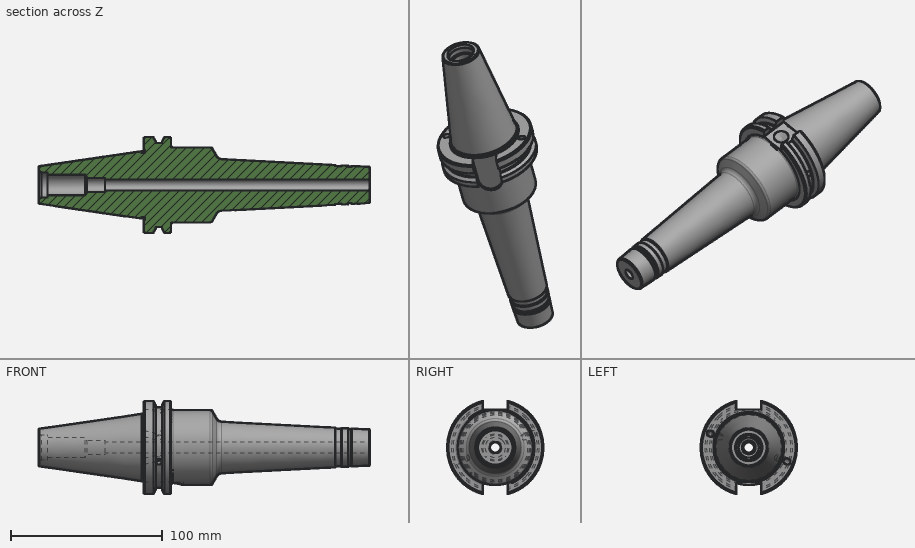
import cadquery as cq
import math

LENGTH = 218.2
DRILL_POINT_ANGLE = math.radians(118)

TAPER_END = 67.7
TAPER_BIG_RADIUS = 22.3
TAPER_SLOPE = 7 / 48
SHANK_CHAMFER = 0.7
RELIEF_RADIUS = 21.4
RELIEF_CHAMFER = 0.5

FLANGE_FRONT = 69.2
FLANGE_BACK = 87.3
FLANGE_RADIUS = 63.5 / 2
FLANGE_CHAMFER = 0.9
FACE_RECESS_RADIUS = 23.4
FACE_RECESS_DEPTH = 0.7
GROOVE_X = 79.2
GROOVE_WIDTH = 4.0
GROOVE_FLOOR_RADIUS = 27.7
FLANK_ROOT_RADIUS = 28.8
FLANK_ANGLE = math.radians(30)

BODY_RADIUS = 49.5 / 2
BODY_FILLET = 1.0
SHOULDER_ROUND = 2.0
SHOULDER_ANGLE = math.radians(60)
SHOULDER_FILLET = 4.0

NOSE_TIP_RADIUS = 12.0
NOSE_ANGLE = math.radians(3)
NOSE_START = 120.5
NOSE_CHAMFER = 0.7
RING_GROOVES = ((195.1, 199.7), (203.6, 206.5))
RING_GROOVE_DEPTH = 0.55

SLOT_WIDTH = 16.2
UPPER_SLOT_FLOOR = 25.0
LOWER_SLOT_FLOOR = 22.7
DIMPLE_DIAMETER = 9.5

MOUTH_DIAMETER = 18.0
MOUTH_DEPTH = 2.0
PILOT_DIAMETER = 16.4
PILOT_DEPTH = 6.0
THREAD_DIAMETER = 13.3
THREAD_DEPTH = 30.5
STEP_DIAMETER = 9.0
STEP_DEPTH = 43.6
THROUGH_DIAMETER = 7.0

COOLANT_POSITION_ANGLE = 20.0
COOLANT_TILT = math.radians(35)
COOLANT_CIRCLE_RADIUS = 26.8
COOLANT_OUTLET_DIAMETER = 4.0
COOLANT_CROSS_DIAMETER = 4.0


def taper_radius(x):
    return TAPER_BIG_RADIUS - (TAPER_END - x) * TAPER_SLOPE


def nose_radius(x):
    return NOSE_TIP_RADIUS + (LENGTH - x) * math.tan(NOSE_ANGLE)


def turned_body():
    groove_left = GROOVE_X - GROOVE_WIDTH / 2
    groove_right = GROOVE_X + GROOVE_WIDTH / 2
    flank_run = (FLANGE_RADIUS - FLANK_ROOT_RADIUS) * math.tan(FLANK_ANGLE)
    recess_floor = FLANGE_FRONT + FACE_RECESS_DEPTH

    foot_run = SHOULDER_FILLET * (math.sin(SHOULDER_ANGLE) - math.sin(NOSE_ANGLE))
    foot_rise = SHOULDER_FILLET * (math.cos(NOSE_ANGLE) - math.cos(SHOULDER_ANGLE))
    foot_x = NOSE_START - foot_run
    foot_radius = nose_radius(NOSE_START) + foot_rise
    round_radius = BODY_RADIUS - SHOULDER_ROUND * (1 - math.cos(SHOULDER_ANGLE))
    round_x = foot_x - (round_radius - foot_radius) / math.tan(SHOULDER_ANGLE)
    shoulder_x = round_x - SHOULDER_ROUND * math.sin(SHOULDER_ANGLE)

    outline = (
        cq.Workplane("XY")
        .lineTo(0, taper_radius(0) - SHANK_CHAMFER)
        .lineTo(SHANK_CHAMFER, taper_radius(SHANK_CHAMFER))
        .lineTo(TAPER_END, TAPER_BIG_RADIUS)
        .lineTo(TAPER_END + RELIEF_CHAMFER, RELIEF_RADIUS)
        .lineTo(recess_floor, RELIEF_RADIUS)
        .lineTo(recess_floor, FACE_RECESS_RADIUS - FACE_RECESS_DEPTH)
        .lineTo(FLANGE_FRONT, FACE_RECESS_RADIUS)
        .lineTo(FLANGE_FRONT, FLANGE_RADIUS - FLANGE_CHAMFER)
        .lineTo(FLANGE_FRONT + FLANGE_CHAMFER, FLANGE_RADIUS)
        .lineTo(groove_left - flank_run, FLANGE_RADIUS)
        .lineTo(groove_left, FLANK_ROOT_RADIUS)
        .lineTo(groove_left, GROOVE_FLOOR_RADIUS)
        .lineTo(groove_right, GROOVE_FLOOR_RADIUS)
        .lineTo(groove_right, FLANK_ROOT_RADIUS)
        .lineTo(groove_right + flank_run, FLANGE_RADIUS)
        .lineTo(FLANGE_BACK - FLANGE_CHAMFER, FLANGE_RADIUS)
        .lineTo(FLANGE_BACK, FLANGE_RADIUS - FLANGE_CHAMFER)
        .lineTo(FLANGE_BACK, BODY_RADIUS + BODY_FILLET)
        .tangentArcPoint((FLANGE_BACK + BODY_FILLET, BODY_RADIUS), relative=False)
        .lineTo(shoulder_x, BODY_RADIUS)
        .tangentArcPoint((round_x, round_radius), relative=False)
        .lineTo(foot_x, foot_radius)
        .tangentArcPoint((NOSE_START, nose_radius(NOSE_START)), relative=False)
    )
    for start, end in RING_GROOVES:
        floor_start = start + RING_GROOVE_DEPTH
        floor_end = end - RING_GROOVE_DEPTH
        outline = (
            outline.lineTo(start, nose_radius(start))
            .lineTo(floor_start, nose_radius(floor_start) - RING_GROOVE_DEPTH)
            .lineTo(floor_end, nose_radius(floor_end) - RING_GROOVE_DEPTH)
            .lineTo(end, nose_radius(end))
        )
    outline = (
        outline.lineTo(LENGTH - NOSE_CHAMFER, nose_radius(LENGTH - NOSE_CHAMFER))
        .lineTo(LENGTH, NOSE_TIP_RADIUS - NOSE_CHAMFER)
        .lineTo(LENGTH, 0)
        .close()
    )
    return outline.revolve(360, (0, 0, 0), (1, 0, 0))


def axial_bore():
    point_depth = (THREAD_DIAMETER - STEP_DIAMETER) / 2 / math.tan(DRILL_POINT_ANGLE / 2)
    return (
        cq.Workplane("XY")
        .lineTo(0, MOUTH_DIAMETER / 2)
        .lineTo(MOUTH_DEPTH, PILOT_DIAMETER / 2)
        .lineTo(PILOT_DEPTH, PILOT_DIAMETER / 2)
        .lineTo(PILOT_DEPTH, THREAD_DIAMETER / 2)
        .lineTo(THREAD_DEPTH, THREAD_DIAMETER / 2)
        .lineTo(THREAD_DEPTH + point_depth, STEP_DIAMETER / 2)
        .lineTo(STEP_DEPTH, STEP_DIAMETER / 2)
        .lineTo(STEP_DEPTH, THROUGH_DIAMETER / 2)
        .lineTo(LENGTH, THROUGH_DIAMETER / 2)
        .lineTo(LENGTH, 0)
        .close()
        .revolve(360, (0, 0, 0), (1, 0, 0))
    )


def drive_slot(floor, side):
    """Slot across the flange with a round end; side is +1 above the axis and -1 below it."""
    straight = FLANGE_BACK - FLANGE_FRONT
    height = side * (FLANGE_RADIUS - floor)
    base = cq.Workplane("XY").workplane(offset=side * floor)
    channel = base.center(FLANGE_FRONT + straight / 2, 0).rect(straight, SLOT_WIDTH).extrude(height)
    round_end = base.center(FLANGE_BACK, 0).circle(SLOT_WIDTH / 2).extrude(height)
    return channel.union(round_end)


def dimple():
    radius = DIMPLE_DIAMETER / 2
    depth = radius / math.tan(DRILL_POINT_ANGLE / 2)
    cone = cq.Solid.makeCone(
        radius, 0, depth, cq.Vector(GROOVE_X, 0, UPPER_SLOT_FLOOR), cq.Vector(0, 0, -1)
    )
    return cq.Workplane(cone)


def coolant_passage(angle):
    """Tilted hole from the flange face that meets a radial hole from the groove floor."""
    overrun = COOLANT_OUTLET_DIAMETER
    run = GROOVE_X - FLANGE_FRONT
    meeting_radius = COOLANT_CIRCLE_RADIUS - run * math.tan(COOLANT_TILT)
    outlet = cq.Solid.makeCylinder(
        COOLANT_OUTLET_DIAMETER / 2,
        run / math.cos(COOLANT_TILT) + overrun,
        cq.Vector(
            FLANGE_FRONT - overrun * math.cos(COOLANT_TILT),
            COOLANT_CIRCLE_RADIUS + overrun * math.sin(COOLANT_TILT),
            0,
        ),
        cq.Vector(math.cos(COOLANT_TILT), -math.sin(COOLANT_TILT), 0),
    )
    cross_hole = cq.Solid.makeCylinder(
        COOLANT_CROSS_DIAMETER / 2,
        FLANK_ROOT_RADIUS - meeting_radius,
        cq.Vector(GROOVE_X, meeting_radius, 0),
        cq.Vector(0, 1, 0),
    )
    passage = cq.Workplane(outlet).union(cq.Workplane(cross_hole))
    return passage.rotate((0, 0, 0), (1, 0, 0), angle)


result = turned_body().cut(axial_bore())
result = result.cut(drive_slot(UPPER_SLOT_FLOOR, 1))
result = result.cut(drive_slot(LOWER_SLOT_FLOOR, -1))
result = result.cut(dimple())
for passage_angle in (COOLANT_POSITION_ANGLE, COOLANT_POSITION_ANGLE + 180):
    result = result.cut(coolant_passage(passage_angle))